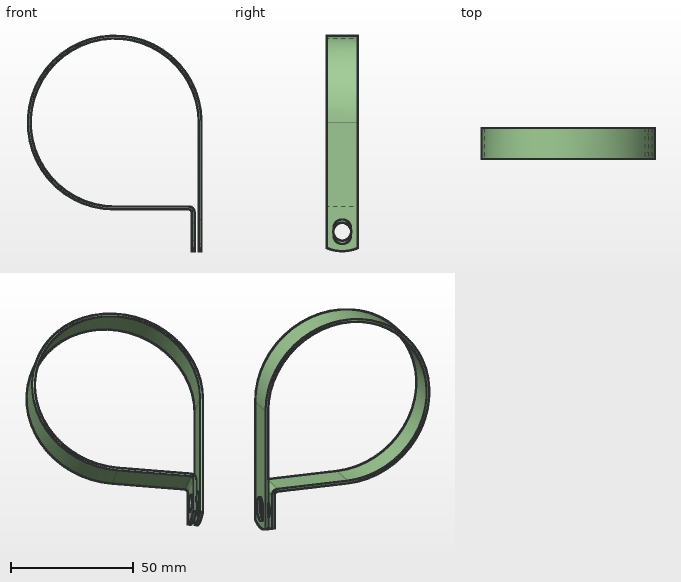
import cadquery as cq

outer_diameter = 70.7
total_height = 87.7
strip_width = 12.7
strip_thickness = 1.2
leg_gap = 1.6
bend_inner_radius = 1.2
hole_diameter = 7.2
slot_length = 10.0
hole_to_tip = 8.0
tip_rise = 1.3

outer_radius = outer_diameter / 2
inner_radius = outer_radius - strip_thickness
bottom_z = outer_radius - total_height
short_leg_outer_x = inner_radius - leg_gap
short_leg_inner_x = short_leg_outer_x - strip_thickness
bend_outer_radius = bend_inner_radius + strip_thickness
bend_start_x = short_leg_outer_x - bend_outer_radius
bend_end_z = -outer_radius - bend_inner_radius


def arc_in_corner(path, end, center, radius, direction):
    """Add an arc whose middle point lies from center along a diagonal direction."""
    reach = radius / 2 ** 0.5
    middle = (center[0] + direction[0] * reach, center[1] + direction[1] * reach)
    return path.threePointArc(middle, end)


def bent_strip():
    """Three-quarter loop with a straight long leg and a bent short leg."""
    loop_center = (0, 0)
    bend_center = (bend_start_x, bend_end_z)
    upper_left = (-1, 1)
    upper_right = (1, 1)

    path = cq.Workplane("XZ").moveTo(outer_radius, bottom_z).lineTo(outer_radius, 0)
    path = arc_in_corner(path, (0, -outer_radius), loop_center, outer_radius, upper_left)

    path = path.lineTo(bend_start_x, -outer_radius)
    path = arc_in_corner(path, (short_leg_inner_x, bend_end_z), bend_center, bend_inner_radius, upper_right)
    path = path.lineTo(short_leg_inner_x, bottom_z).lineTo(short_leg_outer_x, bottom_z)

    path = path.lineTo(short_leg_outer_x, bend_end_z)
    path = arc_in_corner(path, (bend_start_x, -inner_radius), bend_center, bend_outer_radius, upper_right)
    path = path.lineTo(0, -inner_radius)
    path = arc_in_corner(path, (inner_radius, 0), loop_center, inner_radius, upper_left)
    path = path.lineTo(inner_radius, bottom_z).close()
    return path.extrude(strip_width / 2, both=True)


def rounded_end_envelope():
    """Side silhouette of the strap, with the curved leg ends at the bottom."""
    half_width = strip_width / 2
    return (
        cq.Workplane("YZ")
        .moveTo(-half_width, outer_radius)
        .lineTo(-half_width, bottom_z + tip_rise)
        .threePointArc((0, bottom_z), (half_width, bottom_z + tip_rise))
        .lineTo(half_width, outer_radius)
        .close()
        .extrude(outer_radius, both=True)
    )


def short_leg_hole():
    """Round bolt hole along X through the short leg."""
    return (
        cq.Workplane("YZ", origin=(short_leg_inner_x, 0, bottom_z + hole_to_tip))
        .circle(hole_diameter / 2)
        .extrude(strip_thickness)
    )


def long_leg_slot():
    """Upright bolt slot along X through the long leg, level with the round hole."""
    upright = 90
    return (
        cq.Workplane("YZ", origin=(inner_radius, 0, bottom_z + hole_to_tip))
        .slot2D(slot_length, hole_diameter, upright)
        .extrude(strip_thickness)
    )


result = (
    bent_strip()
    .intersect(rounded_end_envelope())
    .cut(short_leg_hole())
    .cut(long_leg_slot())
)